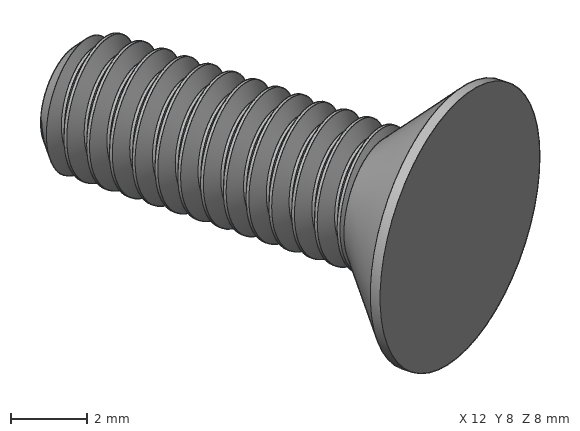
import cadquery as cq
import math

length = 12.0
head_radius = 8.0 / 2
head_rim = 0.3
head_cone_angle = 90.0

crest_radius = 4.0 / 2
root_radius = 3.1 / 2
twelve_turns = 8.4
pitch = twelve_turns / 12
crest_flat = pitch / 8
flank_angle = 30.0
crest_offset = 0.05

tip_radius = 2.93 / 2
overlap = 0.04

cone_length = (head_radius - root_radius) / math.tan(math.radians(head_cone_angle / 2))
cone_start = length - head_rim - cone_length

ridge_start = crest_offset - pitch
turn_count = math.ceil((cone_start + pitch / 2 - ridge_start) / pitch)


def make_body():
    """Revolve the thread core, overlong at the tip, with the countersunk head."""
    core_start = ridge_start - pitch
    outline = [
        (core_start, 0),
        (core_start, root_radius),
        (cone_start, root_radius),
        (length - head_rim, head_radius),
        (length, head_radius),
        (length, 0),
    ]
    return cq.Workplane("XY").polyline(outline).close().revolve(360, (0, 0), (1, 0))


def make_ridge_turn(start):
    """Sweep one turn of the thread ridge, starting with its centre at X = start on the +Y side."""
    base_radius = root_radius - overlap
    crest_half = crest_flat / 2
    base_half = crest_half + (crest_radius - base_radius) * math.tan(math.radians(flank_angle))
    helix = cq.Wire.makeHelix(pitch, pitch, root_radius)
    profile = [
        (base_radius, -base_half),
        (crest_radius, -crest_half),
        (crest_radius, crest_half),
        (base_radius, base_half),
    ]
    ridge = (
        cq.Workplane("XZ")
        .polyline(profile)
        .close()
        .sweep(cq.Workplane(obj=helix), isFrenet=True)
    )
    return ridge.rotate((0, 0, 0), (1, 1, 1), 120).translate((start, 0, 0))


def make_tip_envelope():
    """Solid that trims the overlong thread to the flat tip face and its 45 degree chamfer."""
    envelope_radius = head_radius + pitch
    outline = [
        (0, 0),
        (0, tip_radius),
        (envelope_radius - tip_radius, envelope_radius),
        (length + pitch, envelope_radius),
        (length + pitch, 0),
    ]
    return cq.Workplane("XY").polyline(outline).close().revolve(360, (0, 0), (1, 0))


threaded_body = make_body()
for turn in range(turn_count):
    threaded_body = threaded_body.union(make_ridge_turn(ridge_start + turn * pitch))
result = threaded_body.intersect(make_tip_envelope())